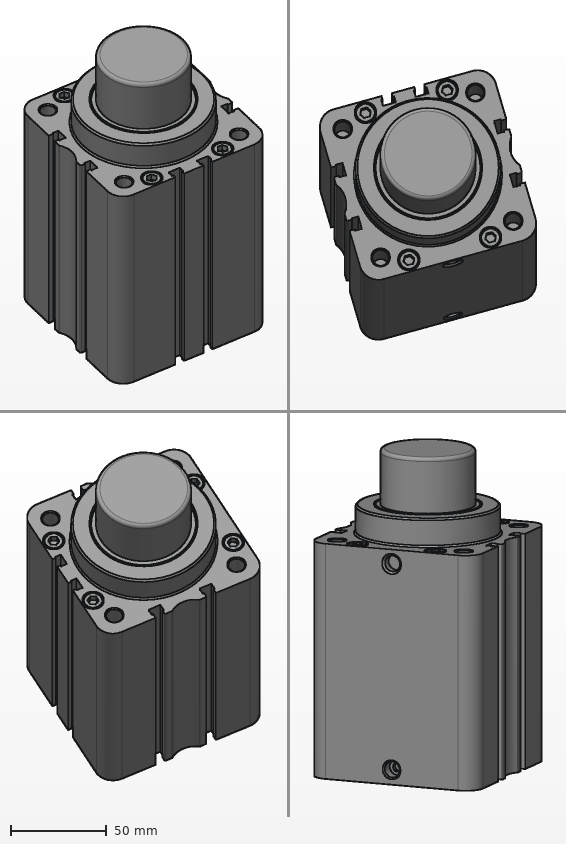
import cadquery as cq
import math

total_height = 171.0
body_side = 95.5
body_half = body_side / 2
body_height = 125.7
corner_radius = 10.0

collar_dia = 76.0
collar_height = 15.4
collar_top = body_height + collar_height
collar_chamfer = 1.0
collar_root_width = 0.9
collar_root_height = 1.0

rod_dia = 50.0
rod_seat_depth = 15.0
rod_bottom = body_height - rod_seat_depth
rod_top_fillet = 2.0
rod_groove_outer_dia = 55.7
rod_groove_inner_dia = 54.7
rod_groove_depth = 1.0
rod_groove_chamfer = 0.5

front_slot_offset = 15.0
front_slot_depth = 6.5
front_slot_neck_depth = 2.9
side_slot_offset = 8.9
side_slot_depth = 5.3
side_slot_neck_depth = 2.0
slot_neck_width = 5.5
slot_wide_width = 7.0

scallop_half_width = 8.0
scallop_depth = 2.7
land_edge_fillet = 0.5

mount_hole_dia = 8.5
mount_hole_offset = 36.0
mount_hole_depth = 20.0
mount_hole_chamfer = 0.7

screw_offset_x = 41.4
screw_offset_y = 22.2
screw_groove_dia = 10.5
screw_head_dia = 9.7
screw_groove_depth = 1.0
screw_groove_chamfer = 0.5
hex_across_flats = 5.1
hex_depth = 3.5

port_dia = 8.5
top_port_depth = 6.0
top_port_z = 118.0
top_port_chamfer = 1.2
bottom_port_z = 8.0
bottom_port_chamfer = 0.9
bottom_port_step_depth = 7.5
bottom_port_bore_dia = 5.0
bottom_port_bore_depth = 10.3


def cylinder(dia, z_bottom, z_top):
    return cq.Workplane("XY").workplane(offset=z_bottom).circle(dia / 2).extrude(z_top - z_bottom)


def countersunk_hole(dia, depth, chamfer):
    """Cutter along -Z from the origin, with a 45 degree chamfer at its mouth."""
    radius = dia / 2
    return (
        cq.Workplane("XZ")
        .moveTo(0, 0)
        .lineTo(radius + chamfer, 0)
        .lineTo(radius, -chamfer)
        .lineTo(radius, -depth)
        .lineTo(0, -depth)
        .close()
        .revolve(360, (0, 0, 0), (0, 1, 0))
    )


def ring_groove(outer_dia, inner_dia, depth, chamfer):
    """Ring cutter along -Z from the origin, with its outer edge chamfered."""
    return countersunk_hole(outer_dia, depth, chamfer).cut(cylinder(inner_dia, -depth, 0))


def t_slot(offset, neck_depth, depth):
    """T-slot cutter that opens at the -Y face, centred at X = offset."""
    neck = cq.Workplane("XY").box(slot_neck_width, neck_depth, body_height, centered=(True, False, False))
    wide = cq.Workplane("XY").box(
        slot_wide_width, depth - neck_depth, body_height, centered=(True, False, False)
    )
    slot = neck.union(wide.translate((0, neck_depth, 0)))
    return slot.translate((offset, -body_half, 0))


def scallop():
    """Arc-shaped cutter in the middle of the -Y face."""
    return (
        cq.Workplane("XY")
        .moveTo(-scallop_half_width, -body_half)
        .threePointArc((0, -body_half + scallop_depth), (scallop_half_width, -body_half))
        .close()
        .extrude(body_height)
    )


def about_z(cutter, angle):
    return cutter.rotate((0, 0, 0), (0, 0, 1), angle)


def block_with_collar():
    block = cq.Workplane("XY").box(body_side, body_side, body_height, centered=(True, True, False))
    block = block.edges("|Z").fillet(corner_radius)

    radius = collar_dia / 2
    collar = (
        cq.Workplane("XZ")
        .moveTo(0, body_height)
        .lineTo(radius + collar_root_width, body_height)
        .lineTo(radius, body_height + collar_root_height)
        .lineTo(radius, collar_top - collar_chamfer)
        .lineTo(radius - collar_chamfer, collar_top)
        .lineTo(0, collar_top)
        .close()
        .revolve(360, (0, 0, 0), (0, 1, 0))
    )
    return block.union(collar)


def land_box(side):
    """Opposite corners of a thin box round the long edges of the two lands on the +Y or -Y face."""
    margin = 0.2
    half_width = front_slot_offset - slot_neck_width / 2 + margin
    y = side * body_half
    return (-half_width, y - margin, 0), (half_width, y + margin, body_height)


def cut_profile_slots(body):
    for face_angle in (0, 180):
        body = body.cut(about_z(scallop(), face_angle))
        for offset in (-front_slot_offset, front_slot_offset):
            slot = t_slot(offset, front_slot_neck_depth, front_slot_depth)
            body = body.cut(about_z(slot, face_angle))
    for side in (-1, 1):
        land_edges = cq.selectors.BoxSelector(*land_box(side))
        body = body.edges(land_edges).edges("|Z").fillet(land_edge_fillet)
    for offset in (-side_slot_offset, side_slot_offset):
        slot = t_slot(offset, side_slot_neck_depth, side_slot_depth)
        body = body.cut(about_z(slot, 90))
    return body


def cut_mount_holes(body):
    hole = countersunk_hole(mount_hole_dia, mount_hole_depth, mount_hole_chamfer)
    for x in (-mount_hole_offset, mount_hole_offset):
        for y in (-mount_hole_offset, mount_hole_offset):
            body = body.cut(hole.translate((x, y, body_height)))
    return body


def cut_screw_details(body):
    groove = ring_groove(screw_groove_dia, screw_head_dia, screw_groove_depth, screw_groove_chamfer)
    hex_corner_dia = hex_across_flats / math.cos(math.pi / 6)
    socket = cq.Workplane("XY").polygon(6, hex_corner_dia).extrude(-hex_depth)
    screw = groove.union(about_z(socket, 30))
    for x in (-screw_offset_x, screw_offset_x):
        for y in (-screw_offset_y, screw_offset_y):
            body = body.cut(screw.translate((x, y, body_height)))
    return body


def cut_ports(body):
    def into_side(cutter, z):
        return cutter.rotate((0, 0, 0), (0, 1, 0), -90).translate((-body_half, 0, z))

    top_port = countersunk_hole(port_dia, top_port_depth, top_port_chamfer)
    bottom_port = countersunk_hole(port_dia, bottom_port_step_depth, bottom_port_chamfer)
    bottom_port = bottom_port.union(cylinder(bottom_port_bore_dia, -bottom_port_bore_depth, 0))
    return body.cut(into_side(top_port, top_port_z)).cut(into_side(bottom_port, bottom_port_z))


def cut_rod_seat(body):
    groove = ring_groove(rod_groove_outer_dia, rod_groove_inner_dia, rod_groove_depth, rod_groove_chamfer)
    rod_bore = cylinder(rod_dia, rod_bottom, collar_top)
    return body.cut(groove.translate((0, 0, collar_top))).cut(rod_bore)


def make_housing():
    body = block_with_collar()
    body = cut_profile_slots(body)
    body = cut_mount_holes(body)
    body = cut_screw_details(body)
    body = cut_ports(body)
    return cut_rod_seat(body)


def make_rod():
    return cylinder(rod_dia, rod_bottom, total_height).faces(">Z").edges().fillet(rod_top_fillet)


housing = make_housing()
rod = make_rod()
result = cq.Compound.makeCompound([housing.val(), rod.val()])